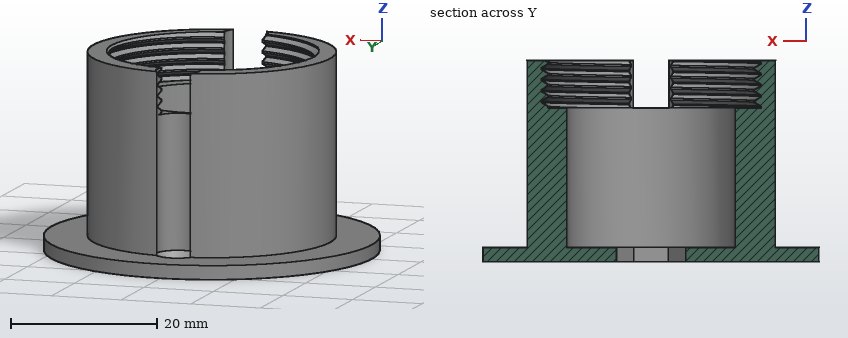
import cadquery as cq
import math

flange_diameter = 46.0
flange_thickness = 2.0
total_height = 27.5
tube_diameter = 34.05

bore_diameter = 23.0
hex_across_flats = 8.2
ledge_height = 21.0

thread_minor_diameter = 28.15
thread_major_diameter = 30.0
thread_pitch = thread_major_diameter / 20
flank_angle = 30.0
root_flat = thread_pitch / 8
root_angle_at_rim = -90.0

screw_hole_diameter = 3.5
screw_head_diameter = 6.0
screw_offset = 15.1
countersink_depth = (screw_head_diameter - screw_hole_diameter) / 2


def cylinder(diameter, bottom, top):
    """Solid cylinder on the Z axis between two heights."""
    return cq.Workplane("XY").workplane(offset=bottom).circle(diameter / 2).extrude(top - bottom)


def make_body():
    """Flange and tube up to the ledge, with the plain bore and the hexagonal opening."""
    body = cylinder(flange_diameter, 0, flange_thickness)
    body = body.union(cylinder(tube_diameter, 0, ledge_height))
    body = body.cut(cylinder(bore_diameter, flange_thickness, ledge_height))
    hex_across_corners = hex_across_flats / math.cos(math.pi / 6)
    hex_opening = cq.Workplane("XY").polygon(6, hex_across_corners).extrude(flange_thickness)
    return body.cut(hex_opening)


def make_thread_groove():
    """Helical trapezoidal groove running past both ends of the threaded length."""
    minor_radius = thread_minor_diameter / 2
    major_radius = thread_major_diameter / 2
    overlap = 0.1
    inner_radius = minor_radius - overlap
    half_root = root_flat / 2
    half_mouth = half_root + (major_radius - inner_radius) * math.tan(math.radians(flank_angle))

    turns = math.ceil((total_height - ledge_height) / thread_pitch) + 2
    rise_at_rim = (turns - 1 + root_angle_at_rim / 360) * thread_pitch
    helix = cq.Wire.makeHelix(thread_pitch, turns * thread_pitch, minor_radius)
    return (
        cq.Workplane("XZ")
        .moveTo(inner_radius, -half_mouth)
        .lineTo(major_radius, -half_root)
        .lineTo(major_radius, half_root)
        .lineTo(inner_radius, half_mouth)
        .close()
        .sweep(cq.Workplane(obj=helix), isFrenet=True)
        .translate((0, 0, total_height - rise_at_rim))
    )


def make_threaded_ring():
    """Internally threaded upper part of the tube, above the ledge.

    The groove is cut in a longer blank, which is then trimmed square at both ends.
    """
    trim_length = 4 * thread_pitch
    blank_bottom = ledge_height - trim_length
    blank_top = total_height + trim_length
    blank = cylinder(tube_diameter, blank_bottom, blank_top)
    blank = blank.cut(cylinder(thread_minor_diameter, blank_bottom, blank_top))
    blank = blank.cut(make_thread_groove())
    return blank.intersect(cylinder(tube_diameter, ledge_height, total_height))


def make_screw_cut(y):
    """Through hole, countersink and head clearance channel at one screw position."""
    head_radius = screw_head_diameter / 2
    hole_radius = screw_hole_diameter / 2
    return (
        cq.Workplane("XZ")
        .lineTo(hole_radius, 0)
        .lineTo(hole_radius, flange_thickness - countersink_depth)
        .lineTo(head_radius, flange_thickness)
        .lineTo(head_radius, total_height)
        .lineTo(0, total_height)
        .close()
        .revolve(360, (0, 0), (0, 1))
        .translate((0, y, 0))
    )


result = make_body().union(make_threaded_ring())
for side in (-1, 1):
    result = result.cut(make_screw_cut(side * screw_offset))